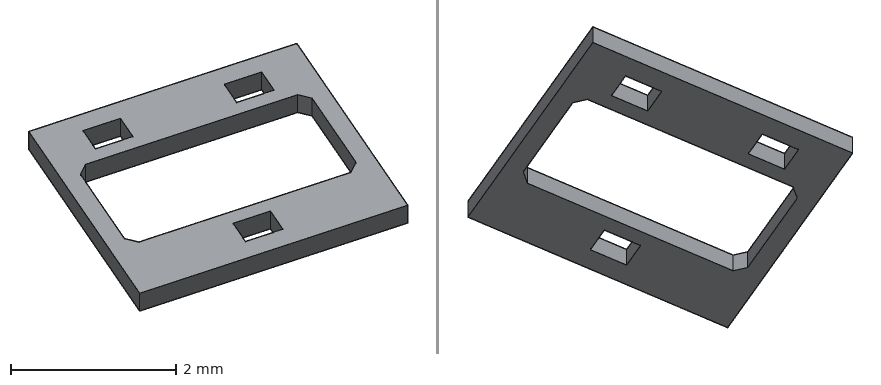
import cadquery as cq

plate_width = 3.13
plate_length = 3.59
plate_thickness = 0.3

window_width = 1.5
window_length = 3.1
window_chamfer = 0.13

slot_width = 0.35
slot_length = 0.5
slot_offset_x = 1.12
slot_pair_spacing = 1.89
slot_centers = [
    (-slot_offset_x, slot_pair_spacing / 2),
    (-slot_offset_x, -slot_pair_spacing / 2),
    (slot_offset_x, 0),
]


def prism(width, length):
    """Rectangular block centred on the Z axis, as tall as the plate."""
    return cq.Workplane("XY").rect(width, length).extrude(plate_thickness)


def window_cutter():
    """Through-window with its four vertical corners chamfered."""
    return prism(window_width, window_length).edges("|Z").chamfer(window_chamfer)


def slot_cutter(center):
    """Through-slot at the given (x, y) center."""
    x, y = center
    return prism(slot_width, slot_length).translate((x, y, 0))


result = prism(plate_width, plate_length).cut(window_cutter())
for slot_center in slot_centers:
    result = result.cut(slot_cutter(slot_center))